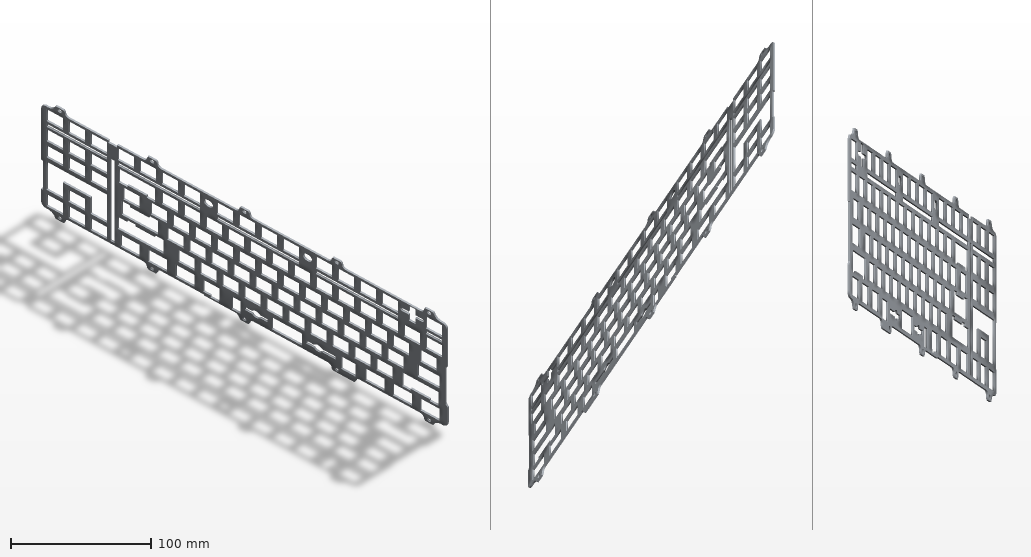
import cadquery as cq
import math

thickness = 1.5
length = 351.5
height = 132.2

main_block_span = 266.5
main_block_steps = 14
pitch = main_block_span / main_block_steps
group_step = 23.5
switch = 14.0
half_switch = switch / 2
nav_columns = 3
first_nav_x = -(main_block_span + group_step + (nav_columns - 1) * pitch) / 2
last_nav_x = first_nav_x + (nav_columns - 1) * pitch
first_main_x = last_nav_x + group_step
row_count = 6
top_row_z = (group_step + (row_count - 2) * pitch) / 2
row_z = [top_row_z] + [top_row_z - group_step - i * pitch for i in range(row_count - 1)]
function_z, number_z, upper_z, home_z, lower_z, bottom_z = row_z

edge_z = 59.8
corner_radius = 4.5
left_x = -length / 2
left_waist_x = -174.5
left_waist_top_z = -6.0
left_waist_bottom_z = -40.0
right_x = 175.0
right_waist_x = 174.0
right_waist_top_z = 10.2
right_bulge_x = length / 2
right_bulge_top_z = -36.2
right_bulge_rise = 2.8
strip_left_x = -34.8
strip_drop = 1.0
overlap = 1.8

ear_count = 5
ear_span = 319.5
ear_spacing = ear_span / (ear_count - 1)
ear_x = [i * ear_spacing - ear_span / 2 for i in range(ear_count)]
ear_radius = 4.5
ear_hole_z = 63.0
ear_hole_diameter = 3.5
ear_fillet = 3.5
wide_ear_fillet = 6.5
long_ear_reach = 12.0
long_ear = 3

notch_left_x = -117.8
notch_right_x = -110.0
notch_floor_z = 57.0

gap_slot = 3.5

prong_width = 7.5
prong_depth = 2.0
prong_spacing = 24.0
space_prong_top = 5.5
long_shift = 0.875

wide_space = 7.0
wide_space_reach = 56.5
narrow_space = 7.625
narrow_space_reach = 50.0

indicator_diameter = 7.7
cross_width = 20.5
cross_height = 17.2
cross_thick = 5.5
cross_thin = 3.5
keyhole_slot = 3.5
keyhole_diameter = 7.7
keyholes = (
    (0.5, 20.0, 10.2),
    (53.5, 78.8, 63.5),
)


def sketch(x=0, z=0):
    """Workplane on the back face, with its origin moved to (x, z)."""
    return cq.Workplane("XZ", origin=(0, thickness / 2, 0)).center(x, z)


def block(x_min, x_max, z_min, z_max):
    outline = sketch((x_min + x_max) / 2, (z_min + z_max) / 2).rect(x_max - x_min, z_max - z_min)
    return outline.extrude(thickness)


def column_x(pitches):
    return first_main_x + pitches * pitch


def key_opening(x_first, x_last, z):
    """Switch cutout stretched to reach from one switch centre to another."""
    return block(x_first - half_switch, x_last + half_switch, z - half_switch, z + half_switch)


def plate_body():
    outline = (
        sketch()
        .moveTo(left_x, edge_z)
        .lineTo(right_x, edge_z)
        .lineTo(right_x, right_waist_top_z)
        .lineTo(right_waist_x, right_waist_top_z)
        .lineTo(right_waist_x, right_bulge_top_z + right_bulge_rise)
        .lineTo(right_bulge_x, right_bulge_top_z)
        .lineTo(right_bulge_x, -edge_z)
        .lineTo(left_x, -edge_z)
        .lineTo(left_x, left_waist_bottom_z)
        .lineTo(left_waist_x, left_waist_bottom_z)
        .lineTo(left_waist_x, left_waist_top_z)
        .lineTo(left_x, left_waist_top_z)
        .close()
    )
    body = outline.extrude(thickness)
    for end in (">Z", "<Z"):
        body = body.faces(end).edges("|Y").fillet(corner_radius)
    return body


def ear_flank(fillet):
    """Half-profile of an ear: fillet foot, fillet middle, tangent point, arc middle, flat end.

    Each point is (distance from the ear's axis, height).
    """
    fillet_z = edge_z + fillet
    foot = math.sqrt((ear_radius + fillet) ** 2 - (fillet_z - ear_hole_z) ** 2)
    tangent_angle = math.atan2(fillet_z - ear_hole_z, foot)
    flat_angle = math.asin((height / 2 - ear_hole_z) / ear_radius)
    fillet_angle = (tangent_angle + math.pi + 1.5 * math.pi) / 2

    def on_ear(angle):
        return ear_radius * math.cos(angle), ear_hole_z + ear_radius * math.sin(angle)

    return (
        (foot, edge_z),
        (foot + fillet * math.cos(fillet_angle), fillet_z + fillet * math.sin(fillet_angle)),
        on_ear(tangent_angle),
        on_ear((tangent_angle + flat_angle) / 2),
        on_ear(flat_angle),
    )


def ear(x, side, left_fillet, right_fillet, reach):
    """Flat-topped ear on the top (side 1) or bottom (side -1) edge, stretched to the right by reach."""
    left = [(x - dx, side * z) for dx, z in ear_flank(left_fillet)]
    right = [(x + reach + dx, side * z) for dx, z in ear_flank(right_fillet)]
    root_z = side * (edge_z - overlap)
    outline = (
        sketch()
        .moveTo(left[0][0], root_z)
        .lineTo(*left[0])
        .threePointArc(left[1], left[2])
        .threePointArc(left[3], left[4])
        .lineTo(*right[4])
        .threePointArc(right[3], right[2])
        .threePointArc(right[1], right[0])
        .lineTo(right[0][0], root_z)
        .close()
    )
    return outline.extrude(thickness)


def ears():
    pieces = []
    for i, x in enumerate(ear_x):
        for side in (1, -1):
            bottom = side < 0
            on_strip = bottom and i == ear_count // 2
            left_fillet = wide_ear_fillet if i == 0 or on_strip else ear_fillet
            right_fillet = wide_ear_fillet if i == ear_count - 1 else ear_fillet
            reach = long_ear_reach if bottom and i == long_ear else 0
            pieces.append(ear(x, side, left_fillet, right_fillet, reach))
    return pieces


def edge_strip():
    return block(strip_left_x, 0, -edge_z - strip_drop, -edge_z + overlap)


def ear_holes():
    places = [(x, side * ear_hole_z) for x in ear_x for side in (1, -1)]
    return [sketch(x, z).circle(ear_hole_diameter / 2).extrude(thickness) for x, z in places]


def edge_notch():
    return [block(notch_left_x, notch_right_x, notch_floor_z, height / 2)]


def single_keys():
    """Square cutouts for every key that needs only one switch place."""
    nav_x = [first_nav_x + i * pitch for i in range(nav_columns)]
    places = [(x, z) for z in (function_z, number_z, upper_z, bottom_z) for x in nav_x]
    places.append((nav_x[1], lower_z))
    runs = (
        (function_z, 0, 4),
        (function_z, 4.5, 4),
        (function_z, 9, 4),
        (function_z, 14, 1),
        (number_z, 2, 13),
        (upper_z, 0.25, 1),
        (upper_z, 1.5, 12),
        (upper_z, 13.75, 1),
        (home_z, 2.25, 11),
        (lower_z, 2.75, 10),
        (bottom_z, 3.875, 1),
    )
    for z, first, count in runs:
        places += [(column_x(first + i), z) for i in range(count)]
    return [key_opening(x, x, z) for x, z in places]


def shared_keys():
    """Cutouts that accept a switch at either of two neighbouring places."""
    places = (
        (home_z, 13.625, 13.875),
        (bottom_z, 0.125, 0.25),
        (bottom_z, 1.375, 1.5),
        (bottom_z, 2.625, 2.75),
        (bottom_z, wide_space, narrow_space),
        (bottom_z, 11.25, 11.375),
        (bottom_z, 12.5, 12.625),
        (bottom_z, 13.75, 13.875),
    )
    return [key_opening(column_x(first), column_x(last), z) for z, first, last in places]


def arrow_surround():
    """Opening that leaves an island around the up-arrow key."""
    legs = [
        block(x - half_switch, x + half_switch, lower_z - half_switch, home_z)
        for x in (first_nav_x, last_nav_x)
    ]
    return [key_opening(first_nav_x, last_nav_x, home_z)] + legs


def wide_keys():
    """Cutouts for stabilised keys; the prongs point up (1) or down (-1)."""
    keys = (
        (number_z, 0.5, -1),
        (home_z, 0.625, 1),
        (lower_z, long_shift, 1),
        (lower_z, 13.375, -1),
    )
    body_reach = (prong_spacing + prong_width) / 2
    cuts = []
    for z, centre, direction in keys:
        x = column_x(centre)
        cuts.append(block(x - body_reach, x + body_reach, z - half_switch, z + half_switch))
        for prong_x in (x - prong_spacing / 2, x + prong_spacing / 2):
            prong = sketch(prong_x, z + direction * prong_depth / 2).rect(prong_width, switch + prong_depth)
            cuts.append(prong.extrude(thickness))
    cuts.append(key_opening(first_main_x, column_x(long_shift), lower_z))
    return cuts


def space_bar_prongs():
    wide_x = column_x(wide_space)
    narrow_x = column_x(narrow_space)
    bottom = bottom_z - half_switch - prong_depth
    top = bottom_z + space_prong_top
    prong_ranges = (
        (wide_x - wide_space_reach, wide_x - wide_space_reach),
        (narrow_x - narrow_space_reach, narrow_x - narrow_space_reach),
        (wide_x + wide_space_reach, narrow_x + narrow_space_reach),
    )
    return [
        block(first - prong_width / 2, last + prong_width / 2, bottom, top)
        for first, last in prong_ranges
    ]


def gap_slots():
    """Narrow slots below the function row, and the upright one beside the main block."""
    slot_z = (function_z + number_z) / 2
    top = slot_z + gap_slot / 2
    bottom = slot_z - gap_slot / 2
    key_groups = ((0, 3), (4.5, 7.5), (9, 12), (14, 14))
    spans = [(first_nav_x, last_nav_x)]
    spans += [(column_x(first), column_x(last)) for first, last in key_groups]
    upright_x = (last_nav_x + first_main_x) / 2
    upright = block(upright_x - gap_slot / 2, upright_x + gap_slot / 2, bottom_z - half_switch, top)
    return [upright] + [block(a - half_switch, b + half_switch, bottom, top) for a, b in spans]


def function_row_openings():
    """Round holes between the function key groups, and the cross left of the last key."""
    cuts = [
        sketch(column_x(centre), function_z).circle(indicator_diameter / 2).extrude(thickness)
        for centre in (3.75, 8.25)
    ]
    cross_centre = sketch(column_x(13), function_z)
    cuts.append(cross_centre.rect(cross_thick, cross_height).extrude(thickness))
    cuts.append(cross_centre.slot2D(cross_width, cross_thin).extrude(thickness))
    return cuts


def keyhole_slots():
    """Slots in the bottom row, each widened by a round hole."""
    cuts = []
    for left, right, hole_x in keyholes:
        cuts.append(block(left, right, bottom_z - keyhole_slot / 2, bottom_z + keyhole_slot / 2))
        cuts.append(sketch(hole_x, bottom_z).circle(keyhole_diameter / 2).extrude(thickness))
    return cuts


added_pieces = ears() + [edge_strip()]
openings = (
    ear_holes()
    + edge_notch()
    + single_keys()
    + shared_keys()
    + arrow_surround()
    + wide_keys()
    + space_bar_prongs()
    + gap_slots()
    + function_row_openings()
    + keyhole_slots()
)
plate = plate_body().val().fuse(*[piece.val() for piece in added_pieces])
plate = plate.cut(*[opening.val() for opening in openings]).clean()
result = cq.Workplane(plate.Solids()[0])